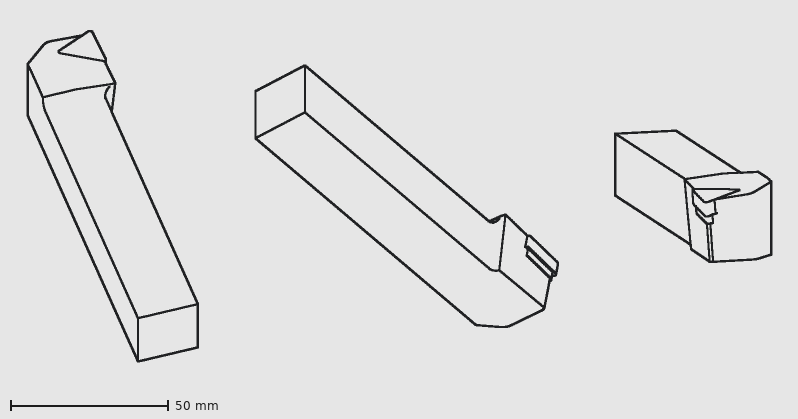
import cadquery as cq
import math

tool_length = 124.4
shank_size = 20.0
head_height = 24.0
head_width = 24.3
tip_reach = 25.0

step_x = 26.6
step_lean = 0.7
step_fillet = 2.5

crease_x = 15.3
top_slope = 0.1

nose_x = 1.5
nose_corner_x = 1.9
bevel_x = 11.0
nose_fillet = 4.7
relief_width = 0.5
relief_length = 1.0
margin = 12.5

insert_side = 16.5
insert_nose_radius = 0.8
insert_thickness = 4.7
seat_inset = 0.5
seat_thickness = 2.9
seat_corner_radius = 1.0

down = cq.Vector(top_slope, -top_slope, -1).normalized()


def on_top(x, y):
    """Point of the sloping top plane above plan position (x, y)."""
    return cq.Vector(x, y, head_height - top_slope * (crease_x - x + y))


def sloped_prism(plan_points, depth):
    """Prism hanging square to the sloping top plane."""
    corners = [on_top(x, y) for x, y in plan_points]
    outline = cq.Wire.makePolygon(corners, close=True)
    return cq.Workplane(cq.Solid.extrudeLinear(outline, [], down * depth))


def stepped_profile(plane, tall):
    """Outline in XY or XZ, tall at the head and one shank size high behind it."""
    foot_x = step_x + step_lean
    return (
        cq.Workplane(plane)
        .moveTo(-margin, 0)
        .lineTo(tool_length, 0)
        .lineTo(tool_length, shank_size)
        .lineTo(foot_x, shank_size)
        .lineTo(step_x, tall)
        .lineTo(-margin, tall)
        .close()
    )


def fillet_step(blank, axis):
    """Round the inside corner where the step meets the shank."""
    foot = (step_x + step_lean, shank_size, shank_size)
    return blank.edges("|" + axis).edges(cq.NearestToPointSelector(foot)).fillet(step_fillet)


def head_outline():
    """Head with bevelled nose, run on past the shank end."""
    nose_corner_y = bevel_x - nose_corner_x
    far_x = tool_length + margin
    prism = sloped_prism(
        [
            (nose_x + relief_width, head_width),
            (nose_x, head_width - relief_length),
            (nose_corner_x, nose_corner_y),
            (bevel_x + margin, -margin),
            (far_x, -margin),
            (far_x, head_width),
        ],
        2 * head_height,
    )
    corner = on_top(nose_corner_x, nose_corner_y) + down * head_height
    return prism.edges(cq.NearestToPointSelector(corner.toTuple())).fillet(nose_fillet)


def triangle_prism(inset, corner_radius, depth):
    """Equilateral prism with rounded corners, inset from the insert's sides."""
    left_x = -(math.sqrt(3) - 1) * insert_nose_radius + math.sqrt(3) * inset
    right_x = left_x + insert_side - 2 * math.sqrt(3) * inset
    outer_y = tip_reach - inset
    inner_y = outer_y - (right_x - left_x) * math.sqrt(3) / 2
    corners = [(left_x, outer_y), ((left_x + right_x) / 2, inner_y), (right_x, outer_y)]
    prism = sloped_prism(corners, depth)
    for x, y in corners:
        middle = on_top(x, y) + down * (depth / 2)
        prism = prism.edges(cq.NearestToPointSelector(middle.toTuple())).fillet(corner_radius)
    return prism


def make_insert():
    return triangle_prism(0, insert_nose_radius, insert_thickness)


def make_holder():
    side_blank = stepped_profile("XZ", head_height).extrude(-head_width - margin)
    plan_blank = stepped_profile("XY", head_width).extrude(head_height + margin)
    body = fillet_step(side_blank, "Y").intersect(fillet_step(plan_blank, "Z"))
    body = body.intersect(head_outline())
    seat = triangle_prism(seat_inset, seat_corner_radius, insert_thickness + seat_thickness)
    return body.union(seat).cut(make_insert())


holder = make_holder()
insert = make_insert()
result = cq.Compound.makeCompound([holder.solids().val(), insert.solids().val()])